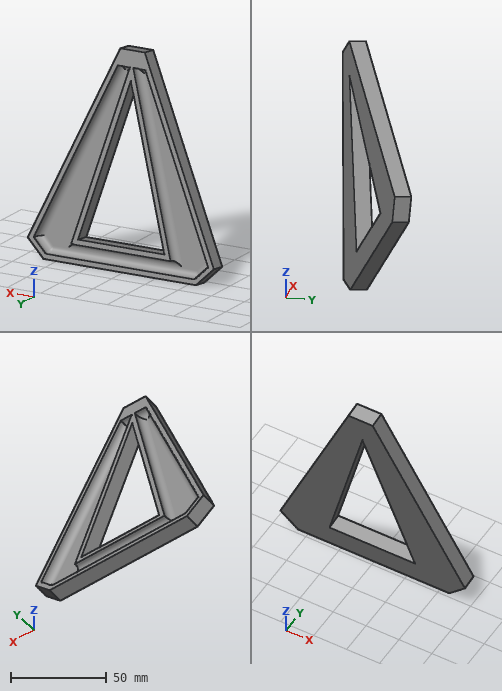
import cadquery as cq
import math

thickness = 9.0
length = 118.9
tilt_angle = 6.6
max_half_width = 56.06
base_half_width = 45.9
tip_half_width = 7.4
corner_height = 10.1

window_bottom = 13.5
window_apex = 102.5
window_half_width = 26.0

wall = 3.0
tip_wall = 9.3
recess_depth = 5.1
floor_fillet = 3.6
corner_fillet = 2.0


def plate_outline():
    """Outer outline drawn on the front face."""
    outline = [
        (-base_half_width, 0),
        (base_half_width, 0),
        (max_half_width, corner_height),
        (tip_half_width, length),
        (-tip_half_width, length),
        (-max_half_width, corner_height),
    ]
    return cq.Workplane("XZ").polyline(outline).close()


def window_prism(margin):
    """Extrude the window triangle, enlarged on all sides by margin."""
    side_angle = math.atan2(window_half_width, window_apex - window_bottom)
    bottom = window_bottom - margin
    apex = window_apex + margin / math.sin(side_angle)
    half_width = (apex - bottom) * math.tan(side_angle)
    outline = [(-half_width, bottom), (half_width, bottom), (0, apex)]
    return cq.Workplane("XZ").polyline(outline).close().extrude(-thickness)


def rear_recess():
    """Trough around the window, with rounded lower corners and floor edges."""
    floor_y = thickness - recess_depth
    inner = plate_outline().offset2D(-wall).extrude(-recess_depth).translate((0, floor_y, 0))
    below_tip = cq.Workplane("XY").box(
        2 * max_half_width, 2 * thickness, length - tip_wall, centered=(True, True, False)
    )
    trough = inner.intersect(below_tip)
    lower_corners = cq.selectors.BoxSelector(
        (-max_half_width, 0, 0), (max_half_width, thickness, corner_height / 2)
    )
    trough = trough.edges("|Y").edges(lower_corners).fillet(corner_fillet)
    trough = trough.cut(window_prism(wall))
    return trough.faces("<Y").edges().fillet(floor_fillet)


plate = plate_outline().extrude(-thickness).cut(rear_recess()).cut(window_prism(0))
result = plate.rotate((0, 0, 0), (1, 0, 0), tilt_angle)